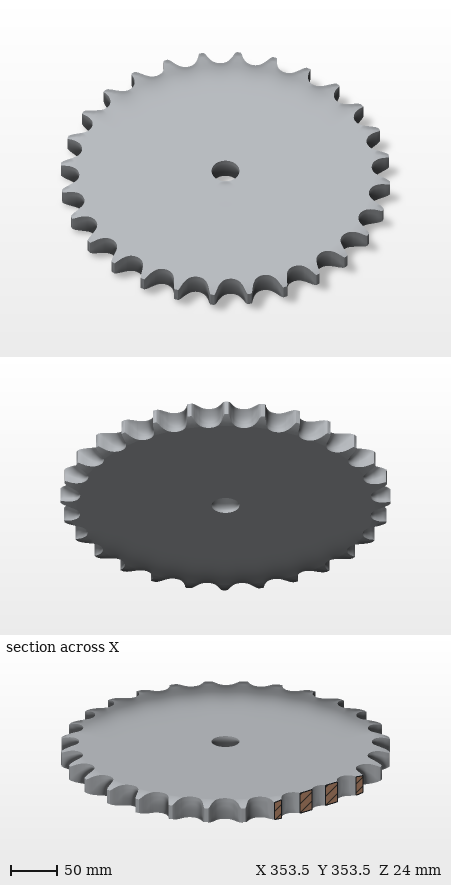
import cadquery as cq
import math

tooth_count = 28
thickness = 24.0
bore_diameter = 30.0
overall_width = 353.5
pitch_diameter = 340.5
roller_diameter = 25.5

face_radius = 160.5
cutter_overrun = 3.5

pitch_angle = 360 / tooth_count
half_pitch_angle = math.radians(pitch_angle / 2)
pitch_radius = pitch_diameter / 2
bevel_radius = pitch_diameter * math.sin(half_pitch_angle)

seat_radius = 1.005 * roller_diameter / 2
working_center_offset = 0.8 * roller_diameter
topping_center_offset = 1.24 * roller_diameter
working_radius = seat_radius + working_center_offset
seat_end_angle = math.radians(35 + 60 / tooth_count)
working_sweep = math.radians(18 - 56 / tooth_count)
flank_angle = seat_end_angle - working_sweep


def offset_point(start, distance, angle):
    """Point at a distance from start, heading sideways (+Y) and tilted inward (-X) by angle."""
    return start[0] - distance * math.sin(angle), start[1] + distance * math.cos(angle)


roller_center = (pitch_radius, 0)
seat_end = offset_point(roller_center, seat_radius, seat_end_angle)
working_center = offset_point(roller_center, -working_center_offset, seat_end_angle)
working_middle = offset_point(working_center, working_radius, seat_end_angle - working_sweep / 2)
working_end = offset_point(working_center, working_radius, flank_angle)

topping_center = offset_point(roller_center, topping_center_offset, half_pitch_angle)
center_gap_x = topping_center[0] - working_end[0]
center_gap_y = topping_center[1] - working_end[1]
topping_radius = center_gap_y * math.cos(flank_angle) - center_gap_x * math.sin(flank_angle)
topping_start = offset_point(topping_center, -topping_radius, flank_angle)


def topping_point(x):
    """Point on the topping arc at distance x along the gap's centre line."""
    rise = math.sqrt(topping_radius**2 - (x - topping_center[0]) ** 2)
    return x, topping_center[1] - rise


tip_radius = math.hypot(*topping_point(overall_width / 2))
topping_end = topping_point(tip_radius + cutter_overrun)
topping_middle = topping_point((topping_start[0] + topping_end[0]) / 2)


def bevel_drop(radius):
    """Depth of the side relief below the flat face at the given radius."""
    return bevel_radius - math.sqrt(bevel_radius**2 - (radius - face_radius) ** 2)


def make_blank():
    """Disc with curved side relief on both faces and a plain bore."""
    middle_radius = (face_radius + tip_radius) / 2
    tip_drop = bevel_drop(tip_radius)
    middle_drop = bevel_drop(middle_radius)
    bore_radius = bore_diameter / 2
    return (
        cq.Workplane("XZ")
        .moveTo(bore_radius, 0)
        .lineTo(face_radius, 0)
        .threePointArc((middle_radius, middle_drop), (tip_radius, tip_drop))
        .lineTo(tip_radius, thickness - tip_drop)
        .threePointArc((middle_radius, thickness - middle_drop), (face_radius, thickness))
        .lineTo(bore_radius, thickness)
        .close()
        .revolve(360, (0, 0, 0), (0, 1, 0))
    )


def mirrored(point):
    """Matching point on the -Y flank."""
    return point[0], -point[1]


def make_gap_cutter():
    """Prism filling the tooth gap centred on +X."""
    return (
        cq.Workplane("XY")
        .moveTo(*mirrored(topping_end))
        .threePointArc(mirrored(topping_middle), mirrored(topping_start))
        .lineTo(*mirrored(working_end))
        .threePointArc(mirrored(working_middle), mirrored(seat_end))
        .threePointArc((pitch_radius - seat_radius, 0), seat_end)
        .threePointArc(working_middle, working_end)
        .lineTo(*topping_start)
        .threePointArc(topping_middle, topping_end)
        .close()
        .extrude(thickness)
    )


result = make_blank()
gap_cutter = make_gap_cutter()
for index in range(tooth_count):
    result = result.cut(gap_cutter.rotate((0, 0, 0), (0, 0, 1), index * pitch_angle))